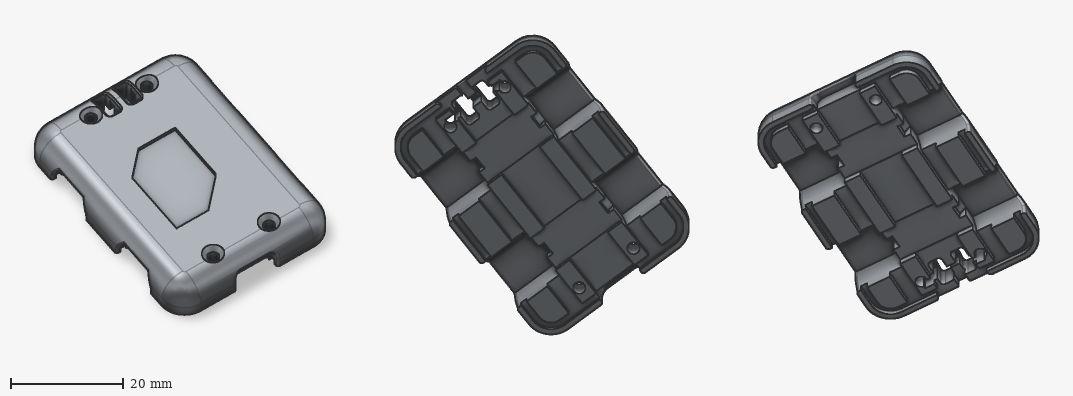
import cadquery as cq

LENGTH = 47.65
WIDTH = 34.7
HEIGHT = 6.95
CORNER_RADIUS = 5.0
TOP_FILLET = 4.57

OVERCUT = 0.5

MOUTH_DEPTH = 1.9
EDGE_MARGIN = 0.05

RIM_RELIEF = 0.1
RIM_THICKNESS = 1.0
BLOCK_INSET = 2.3
GROOVE_DEPTH = 1.25

ARCH_SPACING = 20.0
ARCH_RADIUS = 5.2
ARCH_CENTRE_Z = 0.35
ARCH_TOP = 4.05
ARCH_DEPTH = 9.9
ARCH_FILLET = 0.52

KEY_WIDTH = 2.55
KEY_SLOPE = 1.25

CHANNEL_HEIGHT = 1.25
PLUG_CHANNEL_HEIGHT = 1.4
PLUG_CHANNEL_WIDTH = 7.45
CENTRE_CHANNEL_WIDTH = 8.6
SIDE_CHANNEL_WIDTH = 3.0

RIM_OPENING_WIDTH = 10.2
RIM_OPENING_FILLET = 0.7
CABLE_WIDTH = 2.2
CABLE_TOP = 2.8
CABLE_FILLET = 0.3
PORT_WIDTH = 8.95
PORT_TOP = 4.25
PORT_CORNER_RADIUS = 1.45
PORT_FILLET = 0.45

CROSS_LEFT = -20.5
CROSS_RIGHT = -19.05
CROSS_HALF_LENGTH = 6.2
CROSS_TOP = 5.25

WINDOW_LENGTH = 5.45
WINDOW_WIDTH = 2.75
WINDOW_X = -19.45
WINDOW_SPACING = 4.57
WINDOW_CORNER_RADIUS = 0.7
WINDOW_CHAMFER = 0.35

SCREW_DIAMETER = 2.2
SCREW_HEAD_DIAMETER = 4.1
SCREW_HEAD_DEPTH = 0.95
SCREW_SPACING_X = 37.85
SCREW_SPACING_Y = 12.2

PANEL_LEFT = -7.9
PANEL_RIGHT = 10.55
PANEL_FRONT = -8.2
PANEL_BACK = 4.55
PANEL_LARGE_CUT = 5.8
PANEL_SMALL_CUT = 4.65
PANEL_DEPTH = 0.7


def block(x_range, y_range, z_range):
    """Axis-aligned box between the given limits."""
    size = [high - low for low, high in (x_range, y_range, z_range)]
    corner = (x_range[0], y_range[0], z_range[0])
    return cq.Workplane("XY").box(*size, centered=False).translate(corner)


def rounded_plate(inset, height):
    """Lid outline moved inward by inset and raised from the underside."""
    plate = cq.Workplane("XY").rect(LENGTH - 2 * inset, WIDTH - 2 * inset).extrude(height)
    return plate.edges("|Z").fillet(CORNER_RADIUS - inset)


def edges_within(x_range, y_range, z_range):
    """Selector for edges whose centre lies between the given limits."""
    low, high = zip(x_range, y_range, z_range)
    return cq.selectors.BoxSelector(low, high)


def plug_arch(x):
    """Flat-topped round tunnel entering from the front side."""
    front = -WIDTH / 2
    disc = (
        cq.Workplane("XZ", origin=(x, front - OVERCUT, ARCH_CENTRE_Z))
        .circle(ARCH_RADIUS)
        .extrude(-(ARCH_DEPTH + OVERCUT))
    )
    foot = block(
        (x - ARCH_RADIUS, x + ARCH_RADIUS),
        (front - OVERCUT, front + ARCH_DEPTH),
        (-OVERCUT, ARCH_CENTRE_Z),
    )
    below_top = block((-LENGTH, LENGTH), (-WIDTH, WIDTH), (-HEIGHT, ARCH_TOP))
    return disc.union(foot).intersect(below_top)


def arch_keyway(x):
    """Notch in the back wall of an arch, its roof sloping down at 45 degrees."""
    wall = -WIDTH / 2 + ARCH_DEPTH
    profile = [
        (wall, 0),
        (wall, ARCH_TOP),
        (wall + KEY_SLOPE, ARCH_TOP - KEY_SLOPE),
        (wall + KEY_SLOPE, 0),
    ]
    return (
        cq.Workplane("YZ", origin=(x - KEY_WIDTH / 2, 0, 0))
        .polyline(profile)
        .close()
        .extrude(KEY_WIDTH)
    )


lid = rounded_plate(0, HEIGHT).faces(">Z").edges().fillet(TOP_FILLET)

arch_places = (-ARCH_SPACING / 2, ARCH_SPACING / 2)
for arch_x in arch_places:
    arch = plug_arch(arch_x)
    lid = lid.cut(arch).cut(arch.mirror("XZ"))
mouth_reach = ARCH_RADIUS + ARCH_FILLET
for arch_x in arch_places:
    for y_range in (
        (-WIDTH / 2 - OVERCUT, -WIDTH / 2 + MOUTH_DEPTH),
        (WIDTH / 2 - MOUTH_DEPTH, WIDTH / 2 + OVERCUT),
    ):
        mouth = edges_within(
            (arch_x - mouth_reach, arch_x + mouth_reach), y_range, (EDGE_MARGIN, HEIGHT)
        )
        lid = lid.edges(mouth).fillet(ARCH_FILLET)

port = block(
    (LENGTH / 2 - BLOCK_INSET, LENGTH / 2 + OVERCUT),
    (-PORT_WIDTH / 2, PORT_WIDTH / 2),
    (-OVERCUT, PORT_TOP),
)
port = port.faces(">Z").edges("|X").fillet(PORT_CORNER_RADIUS)
lid = lid.cut(port)
port_mouth = edges_within(
    (LENGTH / 2 - MOUTH_DEPTH, LENGTH / 2 + OVERCUT),
    (-PORT_WIDTH / 2 - OVERCUT, PORT_WIDTH / 2 + OVERCUT),
    (EDGE_MARGIN, HEIGHT),
)
lid = lid.edges(port_mouth).fillet(PORT_FILLET)

cable = block(
    (-LENGTH / 2 - OVERCUT, CROSS_RIGHT),
    (-CABLE_WIDTH / 2, CABLE_WIDTH / 2),
    (-OVERCUT, CABLE_TOP),
)
lid = lid.cut(cable)
cable_mouth = edges_within(
    (-LENGTH / 2 - OVERCUT, -LENGTH / 2 + OVERCUT),
    (-CABLE_WIDTH / 2 - EDGE_MARGIN, CABLE_WIDTH / 2 + EDGE_MARGIN),
    (EDGE_MARGIN, HEIGHT),
)
lid = lid.edges(cable_mouth).fillet(CABLE_FILLET)

window_places = [(WINDOW_X, -WINDOW_SPACING / 2), (WINDOW_X, WINDOW_SPACING / 2)]
windows = (
    cq.Workplane("XY")
    .pushPoints(window_places)
    .rect(WINDOW_LENGTH, WINDOW_WIDTH)
    .extrude(HEIGHT + OVERCUT)
    .edges("|Z")
    .fillet(WINDOW_CORNER_RADIUS)
)
lid = lid.cut(windows)
for window_x, window_y in window_places:
    rim = edges_within(
        (window_x - WINDOW_LENGTH / 2 - EDGE_MARGIN, window_x + WINDOW_LENGTH / 2 + EDGE_MARGIN),
        (window_y - WINDOW_WIDTH / 2 - EDGE_MARGIN, window_y + WINDOW_WIDTH / 2 + EDGE_MARGIN),
        (CROSS_TOP, HEIGHT + OVERCUT),
    )
    lid = lid.edges(rim).chamfer(WINDOW_CHAMFER)

screw_places = (
    cq.Workplane("XY", origin=(0, 0, HEIGHT))
    .rect(SCREW_SPACING_X, SCREW_SPACING_Y, forConstruction=True)
    .vertices()
)
screw = (
    cq.Workplane("XZ")
    .polyline(
        [
            (0, -HEIGHT),
            (SCREW_DIAMETER / 2, -HEIGHT),
            (SCREW_DIAMETER / 2, -SCREW_HEAD_DEPTH),
            (SCREW_HEAD_DIAMETER / 2, 0),
            (0, 0),
        ]
    )
    .close()
    .revolve()
)
lid = lid.cut(screw_places.eachpoint(lambda place: screw.val().moved(place)))

panel = (
    cq.Workplane("XY", origin=(0, 0, HEIGHT))
    .polyline(
        [
            (PANEL_LEFT, PANEL_BACK),
            (PANEL_RIGHT - PANEL_LARGE_CUT, PANEL_BACK),
            (PANEL_RIGHT, PANEL_BACK - PANEL_LARGE_CUT),
            (PANEL_RIGHT, PANEL_FRONT),
            (PANEL_LEFT + PANEL_SMALL_CUT, PANEL_FRONT),
            (PANEL_LEFT, PANEL_FRONT + PANEL_SMALL_CUT),
        ]
    )
    .close()
    .extrude(-PANEL_DEPTH)
)
lid = lid.cut(panel)

for arch_x in arch_places:
    keyway = arch_keyway(arch_x)
    lid = lid.cut(keyway).cut(keyway.mirror("XZ"))

channel_z = (-OVERCUT, CHANNEL_HEIGHT)
plug_z = (-OVERCUT, PLUG_CHANNEL_HEIGHT)
block_x = (-LENGTH / 2 + BLOCK_INSET, LENGTH / 2 - BLOCK_INSET)
for arch_x in arch_places:
    plug_x = (arch_x - PLUG_CHANNEL_WIDTH / 2, arch_x + PLUG_CHANNEL_WIDTH / 2)
    lid = lid.cut(block(plug_x, (-WIDTH / 2, WIDTH / 2), plug_z))
centre_y = (-CENTRE_CHANNEL_WIDTH / 2, CENTRE_CHANNEL_WIDTH / 2)
lid = lid.cut(block(block_x, centre_y, channel_z))
arch_end = WIDTH / 2 - ARCH_DEPTH
side_channel = block(block_x, (arch_end, arch_end + SIDE_CHANNEL_WIDTH), channel_z)
lid = lid.cut(side_channel).cut(side_channel.mirror("XZ"))

cross_y = (-CROSS_HALF_LENGTH, CROSS_HALF_LENGTH)
lid = lid.cut(block((CROSS_LEFT, CROSS_RIGHT), cross_y, (-OVERCUT, CROSS_TOP)))

rim_opening = (
    cq.Workplane("XY", origin=(-LENGTH / 2, 0, -OVERCUT))
    .moveTo(0, -RIM_OPENING_WIDTH / 2 - RIM_OPENING_FILLET)
    .radiusArc((RIM_OPENING_FILLET, -RIM_OPENING_WIDTH / 2), RIM_OPENING_FILLET)
    .lineTo(BLOCK_INSET, -RIM_OPENING_WIDTH / 2)
    .lineTo(BLOCK_INSET, RIM_OPENING_WIDTH / 2)
    .lineTo(RIM_OPENING_FILLET, RIM_OPENING_WIDTH / 2)
    .radiusArc((0, RIM_OPENING_WIDTH / 2 + RIM_OPENING_FILLET), RIM_OPENING_FILLET)
    .close()
    .extrude(OVERCUT + CHANNEL_HEIGHT)
)
lid = lid.cut(rim_opening)

groove = rounded_plate(RIM_THICKNESS, GROOVE_DEPTH).cut(rounded_plate(BLOCK_INSET, GROOVE_DEPTH))
rim_step = rounded_plate(0, RIM_RELIEF).cut(rounded_plate(BLOCK_INSET, RIM_RELIEF))
lid = lid.cut(groove).cut(rim_step)
result = cq.Workplane(lid.solids().val())